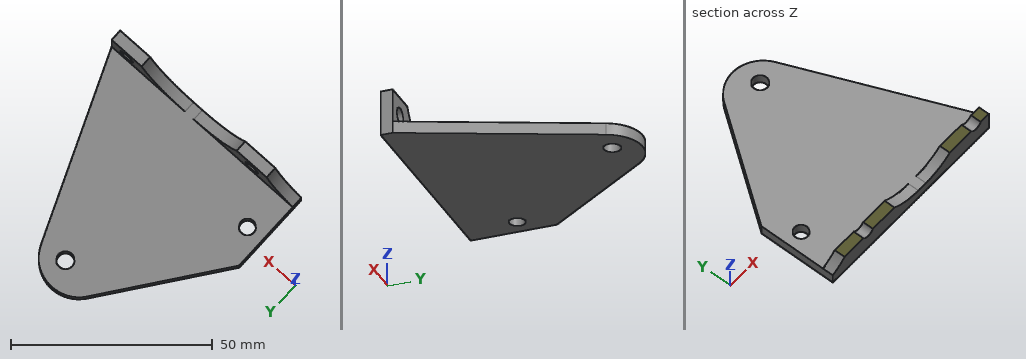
import cadquery as cq
import math

THICKNESS = 3.2
WIDTH = 60.4
WALL_HEIGHT = 12.2

LEFT_EDGE_LENGTH = 22.95
TIP_RADIUS = 10.0
TIP_CENTER = (30.8, 48.06)

TIP_HOLE_DIAMETER = 4.5
TIP_HOLE_CENTER = (32.85, 50.8)
SIDE_HOLE_DIAMETER = 4.2
SIDE_HOLE_CENTER = (5.0, 14.4)

EAR_WIDTH = 10.0
EAR_HOLE_DIAMETER = 4.2
EAR_HOLE_SPACING = 41.7
SCOOP_RADIUS = 16.0

EAR_HOLE_Z = WALL_HEIGHT - EAR_WIDTH / 2
RIGHT_EAR_X = WIDTH - EAR_WIDTH / 2
LEFT_EAR_X = RIGHT_EAR_X - EAR_HOLE_SPACING


def tangent_point(start, side):
    """Point where a line from start touches the tip circle; side is +1 or -1."""
    dx = start[0] - TIP_CENTER[0]
    dy = start[1] - TIP_CENTER[1]
    angle = math.atan2(dy, dx) + side * math.acos(TIP_RADIUS / math.hypot(dx, dy))
    return (
        TIP_CENTER[0] + TIP_RADIUS * math.cos(angle),
        TIP_CENTER[1] + TIP_RADIUS * math.sin(angle),
    )


def base_plate():
    right_corner = (WIDTH, THICKNESS)
    left_corner = (0, LEFT_EDGE_LENGTH)
    tip_top = (TIP_CENTER[0], TIP_CENTER[1] + TIP_RADIUS)
    return (
        cq.Workplane("XY")
        .moveTo(0, 0)
        .lineTo(WIDTH, 0)
        .lineTo(*right_corner)
        .lineTo(*tangent_point(right_corner, 1))
        .threePointArc(tip_top, tangent_point(left_corner, -1))
        .lineTo(*left_corner)
        .close()
        .extrude(THICKNESS)
    )


def upright_wall():
    """Wall along the front edge; each scoop arc is tangent to the plate's top face."""
    left_ear_start = LEFT_EAR_X - EAR_WIDTH / 2
    left_ear_end = LEFT_EAR_X + EAR_WIDTH / 2
    right_ear_start = RIGHT_EAR_X - EAR_WIDTH / 2
    scoop_depth = WALL_HEIGHT - THICKNESS
    scoop_run = math.sqrt(SCOOP_RADIUS**2 - (SCOOP_RADIUS - scoop_depth) ** 2)
    return (
        cq.Workplane("XZ")
        .moveTo(0, 0)
        .lineTo(WIDTH, 0)
        .lineTo(WIDTH, WALL_HEIGHT)
        .lineTo(right_ear_start, WALL_HEIGHT)
        .radiusArc((right_ear_start - scoop_run, THICKNESS), SCOOP_RADIUS)
        .lineTo(left_ear_end + scoop_run, THICKNESS)
        .radiusArc((left_ear_end, WALL_HEIGHT), SCOOP_RADIUS)
        .lineTo(left_ear_start, WALL_HEIGHT)
        .radiusArc((0, THICKNESS), SCOOP_RADIUS)
        .close()
        .extrude(-THICKNESS)
    )


def plate_hole(center, diameter):
    return cq.Workplane("XY").center(*center).circle(diameter / 2).extrude(THICKNESS)


def ear_hole(x):
    return (
        cq.Workplane("XZ")
        .center(x, EAR_HOLE_Z)
        .circle(EAR_HOLE_DIAMETER / 2)
        .extrude(-THICKNESS)
    )


result = base_plate().union(upright_wall())
result = result.cut(plate_hole(TIP_HOLE_CENTER, TIP_HOLE_DIAMETER))
result = result.cut(plate_hole(SIDE_HOLE_CENTER, SIDE_HOLE_DIAMETER))
for ear_x in (LEFT_EAR_X, RIGHT_EAR_X):
    result = result.cut(ear_hole(ear_x))